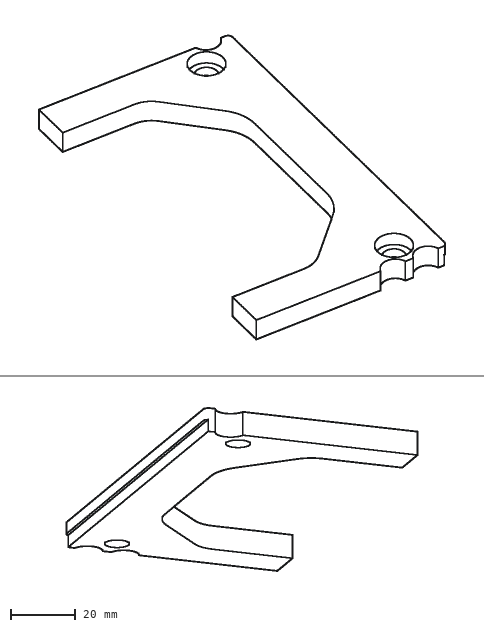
import cadquery as cq

width = 125.0
depth = 70.0
thickness = 7.6
rear_corner_radius = 1.6

leg_width = 13.8
rear_bar_depth = 17.5
haunch_size = 22.1
rear_bend_radius = 14.4
leg_bend_radius = 10.0

hole_edge_distance = 8.6
hole_rear_distance = 14.0
hole_diameter = 7.6
counterbore_diameter = 12.0
counterbore_depth = 4.4

notch_radius = 4.8
notch_depth = 3.4
notch_rear_distance = 7.9
notch_spacing = 12.0

step_depth = 1.0
step_height = 3.9

half_width = width / 2


def make_plate():
    """Rectangular plate with rounded rear corners."""
    plate = cq.Workplane("XY").box(width, depth, thickness, centered=(True, True, False))
    plate = plate.translate((0, -depth / 2, 0))
    return plate.edges("|Z and >Y").fillet(rear_corner_radius)


def make_opening():
    """Front opening with 45 degree haunches and rounded bends."""
    side_x = half_width - leg_width
    rear_x = side_x - haunch_size
    haunch_y = -rear_bar_depth - haunch_size
    opening = (
        cq.Workplane("XY")
        .moveTo(-side_x, -depth)
        .lineTo(-side_x, haunch_y)
        .lineTo(-rear_x, -rear_bar_depth)
        .lineTo(rear_x, -rear_bar_depth)
        .lineTo(side_x, haunch_y)
        .lineTo(side_x, -depth)
        .close()
        .extrude(thickness)
    )
    bends = (
        (rear_x, -rear_bar_depth, rear_bend_radius),
        (side_x, haunch_y, leg_bend_radius),
    )
    for x, y, radius in bends:
        for side in (-1, 1):
            corner = cq.selectors.NearestToPointSelector((side * x, y, thickness / 2))
            opening = opening.edges("|Z").edges(corner).fillet(radius)
    return opening


def make_notches():
    """One notch on the left edge and two on the right edge."""
    centre_x = half_width + notch_radius - notch_depth
    first_y = -notch_rear_distance
    centres = [
        (-centre_x, first_y),
        (centre_x, first_y),
        (centre_x, first_y - notch_spacing),
    ]
    return cq.Workplane("XY").pushPoints(centres).circle(notch_radius).extrude(thickness)


def make_rear_step():
    """Bar that removes the lower part of the rear edge."""
    step = cq.Workplane("XY").box(width, step_depth, step_height, centered=(True, True, False))
    return step.translate((0, -step_depth / 2, 0))


def drill_holes(body):
    """Screw holes counterbored from the top face."""
    hole_x = half_width - hole_edge_distance
    return (
        body.faces(">Z")
        .workplane(origin=(0, 0, thickness))
        .pushPoints([(-hole_x, -hole_rear_distance), (hole_x, -hole_rear_distance)])
        .cboreHole(hole_diameter, counterbore_diameter, counterbore_depth)
    )


frame = make_plate().cut(make_opening()).cut(make_notches()).cut(make_rear_step())
result = drill_holes(frame)